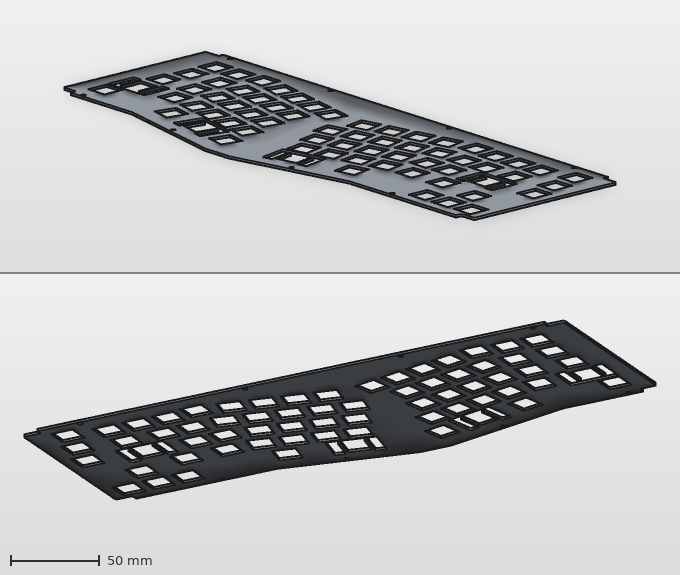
import cadquery as cq
import math


LEFT = -1
RIGHT = 1

plate_length = 348.0
plate_depth = 132.0
plate_thickness = 1.5
end_notch_length = 10.8
rear_notch_depth = 3.5
front_notch_depth = 4.2
notch_root_radius = 1.7
plate_corner_radius = 1.0

split_axis = -19.5
tilt_degrees = 12.0
tilt = math.radians(tilt_degrees)

tip_half_width = 10.0
tip_depth = 17.5
tip_outer_half_width = tip_half_width + tip_depth / math.tan(tilt)

rear_edge = plate_depth / 2
tip_edge = -plate_depth / 2
front_edge = tip_edge + tip_depth
end_edge = plate_length / 2
notch_x = end_edge - end_notch_length
rear_notch_y = rear_edge - rear_notch_depth
front_notch_y = front_edge + front_notch_depth

five_key_span = 76.2
key_pitch = five_key_span / 4
switch_size = 14.0

rear_row_y = 46.5
raised_key_offset = 90.0
raised_key_rise = 1.7
row_1_offset = 103.7
row_2_left_offset = 103.5
row_2_right_offset = 93.5
row_3_left_offset = 98.0
row_3_right_offset = 103.0
row_3_left_wide_key_offset = 128.0
row_4_left_offset = 135.7

end_column_offset = 179.5
end_column_stagger = 4.2

innermost_key_gap = 28.2
innermost_key_y = 32.0

slot_inner = 8.7
slot_outer = 15.3
slot_overhang = 2.0
channel_depth = 3.5
slot_corner_radius = 1.0

screw_hole_diameter = 2.7
screw_edge_distance = 2.0
left_screw_x = -155.0
rear_right_screw_x = 136.7
front_right_screw_x = 106.8
middle_screw_offset = 50.0
middle_front_screw_y = -54.5


def straight_row(side, row, offset, steps):
    """Places (x, y, angle) in a straight row: steps are key pitches outwards from the offset."""
    y = rear_row_y - row * key_pitch
    return [(split_axis + side * (offset + step * key_pitch), y, 0) for step in steps]


def tilted_row(side, row, steps):
    """Places (x, y, angle) in a tilted row: steps are key pitches from the innermost key of row 0."""
    places = []
    for step in steps:
        along = step * key_pitch
        forward = row * key_pitch
        outward = innermost_key_gap / 2 + along * math.cos(tilt) + forward * math.sin(tilt)
        y = innermost_key_y + along * math.sin(tilt) - forward * math.cos(tilt)
        places.append((split_axis + side * outward, y, side * tilt_degrees))
    return places


def prism(width, depth, y=0.0):
    return cq.Workplane("XY").center(0, y).rect(width, depth).extrude(plate_thickness)


def round_corners(plate, corners, radius):
    for x, y in corners:
        nearest = cq.selectors.NearestToPointSelector((x, y, plate_thickness / 2))
        plate = plate.edges("|Z").edges(nearest).fillet(radius)
    return plate


def make_plate():
    outline = [
        (-notch_x, rear_edge),
        (notch_x, rear_edge),
        (notch_x, rear_notch_y),
        (end_edge, rear_notch_y),
        (end_edge, front_notch_y),
        (notch_x, front_notch_y),
        (notch_x, front_edge),
        (split_axis + tip_outer_half_width, front_edge),
        (split_axis + tip_half_width, tip_edge),
        (split_axis - tip_half_width, tip_edge),
        (split_axis - tip_outer_half_width, front_edge),
        (-notch_x, front_edge),
        (-notch_x, front_notch_y),
        (-end_edge, front_notch_y),
        (-end_edge, rear_notch_y),
        (-notch_x, rear_notch_y),
    ]
    plate = cq.Workplane("XY").polyline(outline).close().extrude(plate_thickness)
    front_roots = [(side * notch_x, front_notch_y) for side in (LEFT, RIGHT)]
    rear_corners = [(side * end_edge, rear_notch_y) for side in (LEFT, RIGHT)]
    front_corners = [(side * end_edge, front_notch_y) for side in (LEFT, RIGHT)]
    plate = round_corners(plate, front_roots, notch_root_radius)
    return round_corners(plate, rear_corners + front_corners, plate_corner_radius)


def switch_cutter():
    return prism(switch_size, switch_size)


def wide_key_cutter():
    """Opening of a wide key, with its channel on the +Y side."""
    slot_rear = switch_size / 2 + channel_depth
    slot_front = -switch_size / 2 - slot_overhang
    slot_depth = slot_rear - slot_front
    slot_y = (slot_rear + slot_front) / 2
    slot_x = (slot_outer + slot_inner) / 2
    slot = prism(slot_outer - slot_inner, slot_depth, slot_y).edges("|Z").fillet(slot_corner_radius)
    channel = prism(2 * slot_x, channel_depth, slot_rear - channel_depth / 2)
    cutter = switch_cutter().union(channel)
    for side in (LEFT, RIGHT):
        cutter = cutter.union(slot.translate((side * slot_x, 0, 0)))
    return cutter


def screw_cutter():
    return cq.Workplane("XY").circle(screw_hole_diameter / 2).extrude(plate_thickness)


def cut_at(plate, cutter, places):
    for x, y, angle in places:
        plate = plate.cut(cutter.rotate((0, 0, 0), (0, 0, 1), angle).translate((x, y, 0)))
    return plate


def straight_switch_places():
    places = []
    for side in (LEFT, RIGHT):
        places += straight_row(side, -raised_key_rise / key_pitch, raised_key_offset, [0])

    places += straight_row(LEFT, 0, raised_key_offset, [1, 2])
    places += straight_row(LEFT, 1, row_1_offset, [0, 1.25])
    places += straight_row(LEFT, 2, row_2_left_offset, [0, 1.375])
    places += straight_row(LEFT, 3, row_3_left_offset, [0])
    places += straight_row(LEFT, 4, row_4_left_offset, [0])

    places += straight_row(RIGHT, 0, raised_key_offset, [1, 2, 3])
    places += straight_row(RIGHT, 1, row_1_offset, [0, 1, 2.25])
    places += straight_row(RIGHT, 2, row_2_right_offset, [0, 1])
    places += straight_row(RIGHT, 3, row_3_right_offset, [0, 1.375])

    for inward_steps, row in enumerate([1.75, 0.75, -0.25]):
        offset = end_column_offset - inward_steps * end_column_stagger
        places += straight_row(RIGHT, row, offset, [0])

    places += straight_row(RIGHT, 3.25, end_column_offset, [-1])
    places += straight_row(RIGHT, 4.25, end_column_offset, [-2, -1, 0])
    return places


def tilted_switch_places():
    places = tilted_row(LEFT, 0, [0, 1, 2, 3])
    places += tilted_row(LEFT, 1, [0.5, 1.5, 2.5, 3.5])
    places += tilted_row(LEFT, 2, [0.25, 1.25, 2.25, 3.25])
    places += tilted_row(LEFT, 3, [-0.25, 0.75, 1.75, 2.75])
    places += tilted_row(LEFT, 4, [-0.75, 2.5])

    places += tilted_row(RIGHT, 0, [0, 1, 2, 3])
    places += tilted_row(RIGHT, 1, [-0.5, 0.5, 1.5, 2.5, 3.5])
    places += tilted_row(RIGHT, 2, [-0.25, 0.75, 1.75, 2.75])
    places += tilted_row(RIGHT, 3, [0, 1, 2, 3])
    places += tilted_row(RIGHT, 4, [2.5])
    return places


def wide_key_places():
    places = straight_row(RIGHT, 2, row_2_right_offset, [2.625])
    places += tilted_row(LEFT, 4, [0.75])
    places += tilted_row(RIGHT, 4, [0.375])
    for x, y, angle in straight_row(LEFT, 3, row_3_left_wide_key_offset, [0]):
        places.append((x, y, angle + 180))
    return places


def screw_places():
    rear_y = rear_edge - screw_edge_distance
    front_y = front_edge + screw_edge_distance
    places = [
        (left_screw_x, rear_y, 0),
        (left_screw_x, front_y, 0),
        (rear_right_screw_x, rear_y, 0),
        (front_right_screw_x, front_y, 0),
    ]
    for side in (LEFT, RIGHT):
        for y in (rear_y, middle_front_screw_y):
            places.append((split_axis + side * middle_screw_offset, y, 0))
    return places


result = make_plate()
result = cut_at(result, switch_cutter(), straight_switch_places() + tilted_switch_places())
result = cut_at(result, wide_key_cutter(), wide_key_places())
result = cut_at(result, screw_cutter(), screw_places())